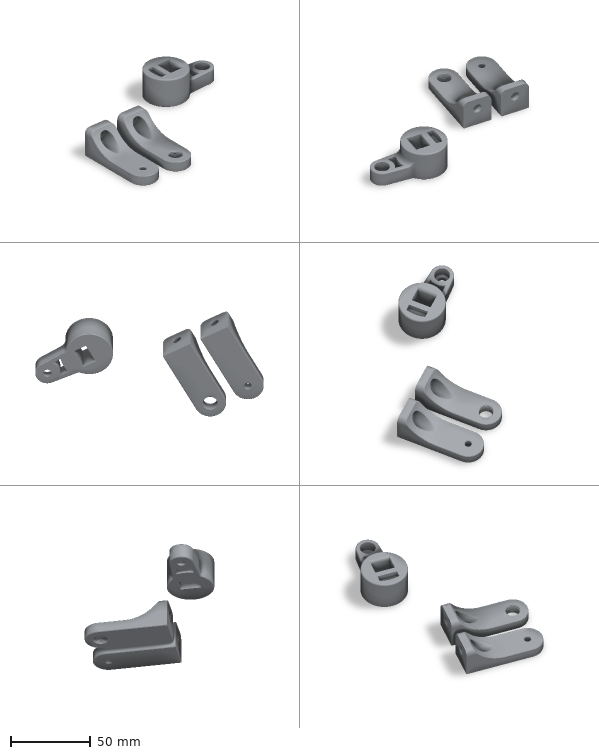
import cadquery as cq
import math

EDGE_BREAK = 0.4
SCREW_HOLE_DIA = 5.4
HEAD_RECESS_DIA = 9.7
OVERCUT = 1.5
POSITION_TOLERANCE = 1.25e-06

DRUM_RADIUS = 15.0
DRUM_HEIGHT = 20.0
HOLDER_BASE_Z = 0.7
DRUM_TOP_Z = HOLDER_BASE_Z + DRUM_HEIGHT
TOP_ROUNDING = 1.0

EYE_DISTANCE = 30.0
EYE_RADIUS = 7.6
TAIL_ROOT_RADIUS = 9.6
TAIL_HEIGHT = 10.0
TAIL_TOP_Z = HOLDER_BASE_Z + TAIL_HEIGHT
BLEND_RADIUS = 3.0
WALL = 3.0
EYE_FLOOR = 3.0

SLOT_WIDTH = 13.1
SLOT_BACK_Y = 7.9
SLOT_FRONT_Y = -1.1
SLOT_BACK_ROUNDING = 2.0
SLOT_FRONT_ROUNDING = 0.9

POCKET_BACK_Y = -5.4
POCKET_CORNER_Y = -9.6
POCKET_FRONT_Y = -10.6
POCKET_DEPTH = 4.2
POCKET_FLOOR_ROUNDING = 0.9

ARM_BACK_X = 23.0
ARM_LENGTH = 54.7
ARM_WIDTH = 20.0
ARM_SPACING = 27.0
FIRST_ARM_Y = -77.3
PLATE_THICKNESS = 7.0
END_HEIGHT = 20.0
END_CORNER_RADIUS = 4.0
SWEEP_RADIUS = 25.2
SWEEP_START = 27.2
SWEEP_AXIS_Z = PLATE_THICKNESS + SWEEP_RADIUS
SWEEP_CREST_X = SWEEP_START - math.sqrt(SWEEP_RADIUS**2 - (SWEEP_AXIS_Z - END_HEIGHT) ** 2)
SCREW_Z = 12.5
END_WALL = 3.0
PIVOT_X = ARM_LENGTH - ARM_WIDTH / 2
PILOT_HOLE_DIA = 4.2
THREAD_MINOR_DIA = 9.0
THREAD_MAJOR_DIA = 9.7
THREAD_PITCH = 1.0
THREAD_MOUTH = 0.7
THREAD_OVERLAP = 0.1


def cylinder(radius, height, x=0.0, y=0.0, z=0.0):
    """Upright cylinder standing at height z."""
    return cq.Workplane("XY", origin=(x, y, z)).circle(radius).extrude(height)


def mouth_cone(hole_dia, z, direction):
    """Cone that chamfers a hole whose mouth lies at height z and opens along direction (+1 or -1)."""
    radius = hole_dia / 2
    cone = cq.Solid.makeCone(
        radius + EDGE_BREAK, radius, EDGE_BREAK, cq.Vector(0, 0, z), cq.Vector(0, 0, -direction)
    )
    return cq.Workplane(obj=cone)


def tail_outline(inset, z, height):
    """Block between the common tangents of the eye circle and the root circle, moved in by inset."""
    eye = EYE_RADIUS - inset
    root = TAIL_ROOT_RADIUS - inset
    lean = math.asin((root - eye) / EYE_DISTANCE)
    root_point = (root * math.cos(lean), root * math.sin(lean))
    eye_point = (eye * math.cos(lean), EYE_DISTANCE + eye * math.sin(lean))
    return (
        cq.Workplane("XY", origin=(0, 0, z))
        .moveTo(-root_point[0], root_point[1])
        .lineTo(*root_point)
        .lineTo(*eye_point)
        .threePointArc((0, EYE_DISTANCE + eye), (-eye_point[0], eye_point[1]))
        .close()
        .extrude(height)
    )


def holder_blank():
    """Drum with its tail, blended together and with the outer edges eased."""
    drum = cylinder(DRUM_RADIUS, DRUM_HEIGHT, z=HOLDER_BASE_Z)
    blank = drum.union(tail_outline(0, HOLDER_BASE_Z, TAIL_HEIGHT))

    joint = cq.selectors.BoxSelector(
        (-DRUM_RADIUS, DRUM_RADIUS / 2, HOLDER_BASE_Z + EDGE_BREAK),
        (DRUM_RADIUS, DRUM_RADIUS + EDGE_BREAK, TAIL_TOP_Z + EDGE_BREAK),
    )
    blank = blank.edges(joint).fillet(BLEND_RADIUS)
    tail_rim = cq.selectors.NearestToPointSelector((0, EYE_DISTANCE + EYE_RADIUS, TAIL_TOP_Z))
    blank = blank.edges(tail_rim).fillet(TOP_ROUNDING)
    blank = blank.faces(">Z").edges().fillet(TOP_ROUNDING)
    return blank.faces("<Z").edges().chamfer(EDGE_BREAK)


def window_prism(wall, z, height):
    """Block of the tail that leaves a wall at the sides, and a wall plus an edge break at drum and eye."""
    drum_clearance = cylinder(DRUM_RADIUS + wall + EDGE_BREAK, height, z=z)
    eye_clearance = cylinder(HEAD_RECESS_DIA / 2 + wall + EDGE_BREAK, height, y=EYE_DISTANCE, z=z)
    return tail_outline(wall, z, height).cut(drum_clearance).cut(eye_clearance)


def tail_window():
    """Opening through the tail, chamfered at the top."""
    opening = window_prism(WALL, HOLDER_BASE_Z, TAIL_HEIGHT)
    flare = window_prism(WALL - EDGE_BREAK, TAIL_TOP_Z - EDGE_BREAK, 2 * EDGE_BREAK)
    return opening.union(flare.faces("<Z").edges().chamfer(EDGE_BREAK))


def eye_bore():
    """Screw hole with a head recess above it, both chamfered at the top."""
    floor_z = HOLDER_BASE_Z + EYE_FLOOR
    bore = cylinder(SCREW_HOLE_DIA / 2, TAIL_HEIGHT, z=HOLDER_BASE_Z)
    bore = bore.union(cylinder(HEAD_RECESS_DIA / 2, TAIL_TOP_Z - floor_z, z=floor_z))
    bore = bore.union(mouth_cone(SCREW_HOLE_DIA, floor_z, 1))
    bore = bore.union(mouth_cone(HEAD_RECESS_DIA, TAIL_TOP_Z, 1))
    return bore.translate((0, EYE_DISTANCE, 0))


def strap_slot():
    """Slot through the drum whose two long upper edges are rounded over."""
    back_start = SLOT_BACK_Y + SLOT_BACK_ROUNDING
    front_start = SLOT_FRONT_Y - SLOT_FRONT_ROUNDING
    return (
        cq.Workplane("YZ")
        .moveTo(SLOT_FRONT_Y, HOLDER_BASE_Z)
        .lineTo(SLOT_BACK_Y, HOLDER_BASE_Z)
        .lineTo(SLOT_BACK_Y, DRUM_TOP_Z - SLOT_BACK_ROUNDING)
        .radiusArc((back_start, DRUM_TOP_Z), SLOT_BACK_ROUNDING)
        .lineTo(front_start, DRUM_TOP_Z)
        .radiusArc((SLOT_FRONT_Y, DRUM_TOP_Z - SLOT_FRONT_ROUNDING), SLOT_FRONT_ROUNDING)
        .close()
        .extrude(SLOT_WIDTH / 2, both=True)
    )


def drum_pocket():
    """Blind pocket with a bowed front wall and a floor rounded into its two long walls."""
    half = SLOT_WIDTH / 2
    pocket = (
        cq.Workplane("XY", origin=(0, 0, DRUM_TOP_Z - POCKET_DEPTH))
        .moveTo(-half, POCKET_CORNER_Y)
        .lineTo(-half, POCKET_BACK_Y)
        .lineTo(half, POCKET_BACK_Y)
        .lineTo(half, POCKET_CORNER_Y)
        .threePointArc((0, POCKET_FRONT_Y), (-half, POCKET_CORNER_Y))
        .close()
        .extrude(POCKET_DEPTH)
    )
    return pocket.faces("<Z").edges(">Y or <Y").fillet(POCKET_FLOOR_ROUNDING)


def make_holder():
    holder = holder_blank()
    for cutter in (tail_window(), eye_bore(), strap_slot(), drum_pocket()):
        holder = holder.cut(cutter)
    return holder


def arm_blank():
    """Plate with a round nose that sweeps up into a tall end wall; back at x = 0, centred on y = 0."""
    half = ARM_WIDTH / 2
    side = (
        cq.Workplane("XZ")
        .lineTo(ARM_LENGTH, 0)
        .lineTo(ARM_LENGTH, PLATE_THICKNESS)
        .lineTo(SWEEP_START, PLATE_THICKNESS)
        .radiusArc((SWEEP_CREST_X, END_HEIGHT), SWEEP_RADIUS)
        .lineTo(0, END_HEIGHT)
        .close()
        .extrude(half, both=True)
    )
    plan = (
        cq.Workplane("XY")
        .moveTo(0, -half)
        .lineTo(PIVOT_X, -half)
        .threePointArc((ARM_LENGTH, 0), (PIVOT_X, half))
        .lineTo(0, half)
        .close()
        .extrude(END_HEIGHT)
    )
    end = (
        cq.Workplane("YZ")
        .rect(ARM_WIDTH, 2 * END_HEIGHT)
        .extrude(ARM_LENGTH)
        .edges("|X and >Z")
        .fillet(END_CORNER_RADIUS)
    )
    return side.intersect(plan).intersect(end)


def sweep_face(arm):
    """Hollow curved face between the plate and the end wall."""
    near_middle = ((SWEEP_CREST_X + SWEEP_START) / 2, 0, (PLATE_THICKNESS + SCREW_Z) / 2)
    return arm.faces(cq.selectors.NearestToPointSelector(near_middle))


def lies_across(edge, x):
    """True for a straight edge that runs square across the arm at x."""
    box = edge.BoundingBox()
    return max(abs(box.xmin - x), abs(box.xmax - x)) < POSITION_TOLERANCE


def ease_arm_edges(blank):
    """Chamfer the arm all round below and above, leaving the flat back sharp."""
    plate_top = blank.faces(cq.selectors.NearestToPointSelector((PIVOT_X, 0, PLATE_THICKNESS)))
    rims = [face.edges().vals() for face in (blank.faces("<Z"), plate_top, sweep_face(blank))]
    outline = [
        edge
        for rim in rims
        for edge in rim
        if not lies_across(edge, 0) and not lies_across(edge, SWEEP_START)
    ]
    return blank.newObject(outline).chamfer(EDGE_BREAK)


def end_screw_bore():
    """Cutter along X: screw hole in the end wall, head recess in front of it."""
    hole = cylinder(SCREW_HOLE_DIA / 2, ARM_LENGTH)
    recess = cylinder(HEAD_RECESS_DIA / 2, ARM_LENGTH, z=END_WALL)
    bore = hole.union(recess).union(mouth_cone(SCREW_HOLE_DIA, 0, -1))
    return bore.rotate((0, 0, 0), (0, 1, 0), 90).translate((0, 0, SCREW_Z))


def arm_body():
    """Arm with its end screw hole, not yet bored for the pivot."""
    body = ease_arm_edges(arm_blank()).cut(end_screw_bore())
    recess_mouth = sweep_face(body).val().innerWires()[0]
    return body.newObject(recess_mouth.Edges()).chamfer(EDGE_BREAK)


def pivot_hole(dia):
    """Upright cylinder that runs past both faces of the plate."""
    return cylinder(dia / 2, PLATE_THICKNESS + 2 * OVERCUT, z=-OVERCUT)


def threaded_hole():
    """Pivot hole with a helical V groove in its wall."""
    major = THREAD_MAJOR_DIA / 2
    inner = THREAD_MINOR_DIA / 2 - THREAD_OVERLAP
    helix = cq.Wire.makeHelix(THREAD_PITCH, PLATE_THICKNESS + 2 * THREAD_PITCH, inner)
    groove = (
        cq.Workplane("XZ")
        .moveTo(inner, -THREAD_MOUTH / 2)
        .lineTo(major, 0)
        .lineTo(inner, THREAD_MOUTH / 2)
        .close()
        .sweep(cq.Workplane(obj=helix), isFrenet=True)
        .translate((0, 0, -THREAD_PITCH))
    )
    return pivot_hole(THREAD_MINOR_DIA).union(groove)


def make_arm(hole, hole_dia, y):
    """Arm whose pivot is cut by hole, with both mouths of that hole chamfered."""
    arm = arm_body()
    mouths = (mouth_cone(hole_dia, 0, -1), mouth_cone(hole_dia, PLATE_THICKNESS, 1))
    for cutter in (hole, *mouths):
        arm = arm.cut(cutter.translate((PIVOT_X, 0, 0)))
    return arm.translate((ARM_BACK_X, y, 0))


holder = make_holder()
pivots = (
    (pivot_hole(PILOT_HOLE_DIA), PILOT_HOLE_DIA),
    (threaded_hole(), THREAD_MINOR_DIA),
)
arms = [
    make_arm(hole, hole_dia, FIRST_ARM_Y + index * ARM_SPACING)
    for index, (hole, hole_dia) in enumerate(pivots)
]
result = cq.Compound.makeCompound([holder.val(), *[arm.val() for arm in arms]])